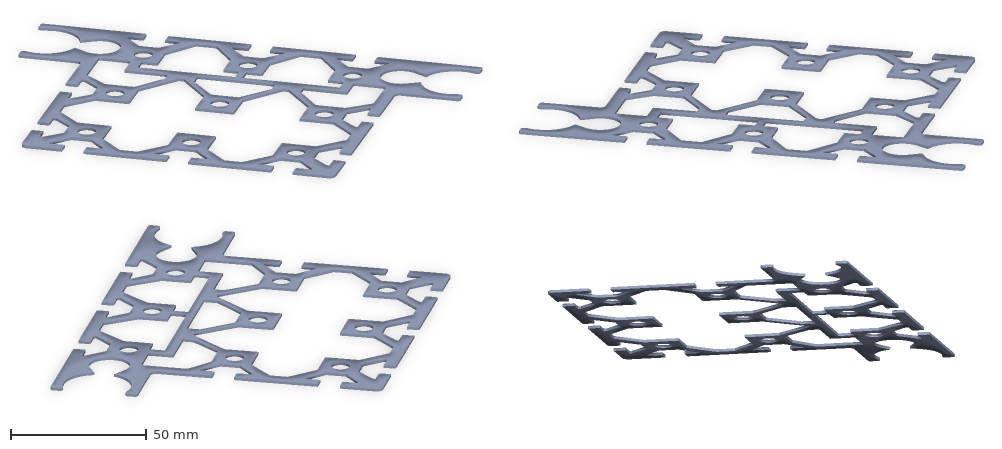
import cadquery as cq
import math

THICKNESS = 1.0
TOTAL_WIDTH = 169.0
BODY_SIZE = 120.0
CELLS = 3
PITCH = BODY_SIZE / CELLS
HALF_BODY = BODY_SIZE / 2
HALF_BAY = PITCH / 2
CORNER_RADIUS = 2.4
WALL = 5.0

BORE_DIAMETER = 7.0
BOSS_HALF = 7.5
BOSS_GAP_HALF = HALF_BAY - BOSS_HALF

LIP = 4.5
SLOT_DEPTH = 12.3
SLOT_OPENING = 8.3
SLOT_FLOOR = 7.6
HORIZONTAL_SLOT_WIDTH = 20.1
UNDERCUT_STEP = 1.0
SIDE_SLOT_WIDTH = 19.6

BAY_FLAT_HALF = 3.4
RIB_ROOT = 5.5
PEAK_HALF = 1.0
PEAK_Y = 19.8

T_POCKET_FLAT_HALF = 3.9
T_POCKET_SHOULDER_Y = 43.5
T_POCKET_FLOOR_Y = 26.7
CENTRE_WEB = 2.7
NECK_INNER_X = 14.9
NECK_OUTER_X = 25.9
NECK_FOOT_Y = 18.6
NECK_RIB_FOOT_HALF = 14.7
MIDDLE_POCKET_TOP_Y = 23.7
STEP_POCKET_TOP_Y = 32.1
STEP_POCKET_LEDGE_Y = 22.6
STEP_POCKET_LEDGE_X = 42.6
STEP_POCKET_FOOT_X = 46.0
STEP_POCKET_WALL_Y = 14.5

WING_HEIGHT = 33.0
WING_BOTTOM = HALF_BODY - WING_HEIGHT
WING_AXIS_Y = HALF_BODY - WING_HEIGHT / 2
WING_TIP_RADIUS = 1.0
WING_ROOT_RADIUS = 2.0
SOCKET_X = 57.5
SOCKET_RADIUS = 7.6
FLANK_ANGLE = math.radians(30)
MOUTH_X = 78.2
MOUTH_RADIUS = 12.7


def prism(points):
    return cq.Workplane("XY").polyline(points).close().extrude(THICKNESS)


def both_sides(shape):
    return shape.union(shape.mirror("YZ"))


def mirrored_path(points):
    """Complete a half outline on the +X side with its reflection in x = 0."""
    return points + [(-x, y) for x, y in reversed(points)]


def block(x_min, x_max, y_min, y_max):
    return prism([(x_min, y_min), (x_max, y_min), (x_max, y_max), (x_min, y_max)])


def blank():
    body = block(-HALF_BODY, HALF_BODY, -HALF_BODY, HALF_BODY)
    body = body.edges("|Z and <Y").fillet(CORNER_RADIUS)
    wings = block(-TOTAL_WIDTH / 2, TOTAL_WIDTH / 2, WING_BOTTOM, HALF_BODY)
    root = cq.selectors.BoxSelector(
        (-HALF_BODY - LIP, WING_BOTTOM - LIP, -LIP),
        (HALF_BODY + LIP, WING_BOTTOM + LIP, LIP),
    )
    return body.union(wings).edges("|Z").edges(root).fillet(WING_ROOT_RADIUS)


def wing_disc(x, radius):
    return cq.Workplane("XY").center(x, WING_AXIS_Y).circle(radius).extrude(THICKNESS)


def wing_mouth():
    """Opening in the right-hand wing: a round socket with tangent flanks and a wide round mouth."""
    tangent_x = SOCKET_X + SOCKET_RADIUS * math.sin(FLANK_ANGLE)
    tangent_half = SOCKET_RADIUS * math.cos(FLANK_ANGLE)
    apex_x = SOCKET_X + SOCKET_RADIUS / math.sin(FLANK_ANGLE)
    flanks = prism([
        (SOCKET_X, WING_AXIS_Y),
        (tangent_x, WING_AXIS_Y - tangent_half),
        (apex_x, WING_AXIS_Y),
        (tangent_x, WING_AXIS_Y + tangent_half),
    ])
    entry = block(MOUTH_X, TOTAL_WIDTH / 2, WING_BOTTOM + LIP, HALF_BODY - LIP)
    socket = wing_disc(SOCKET_X, SOCKET_RADIUS).union(flanks)
    return socket.union(wing_disc(MOUTH_X, MOUTH_RADIUS)).union(entry)


def t_slot(undercut):
    """T-slot opening upward through the top edge of the body, centred on x = 0."""
    lip_y = HALF_BODY - LIP
    return prism(mirrored_path([
        (SLOT_OPENING / 2, HALF_BODY),
        (SLOT_OPENING / 2, lip_y),
        (undercut / 2, lip_y),
        (undercut / 2, lip_y - UNDERCUT_STEP),
        (SLOT_FLOOR / 2, HALF_BODY - SLOT_DEPTH),
    ]))


def central_cavity():
    """Cavity around the lower bosses, as one outline mirrored about x = 0."""
    lower_row = -PITCH
    wall_x = HALF_BODY - WALL
    rib_x = PITCH + RIB_ROOT
    return prism(mirrored_path([
        (BOSS_HALF, -BOSS_HALF),
        (BOSS_HALF, RIB_ROOT),
        (HALF_BAY - PEAK_HALF, PEAK_Y),
        (HALF_BAY + PEAK_HALF, PEAK_Y),
        (PITCH - BOSS_HALF, RIB_ROOT),
        (PITCH - BOSS_HALF, -BOSS_HALF),
        (rib_x, -BOSS_HALF),
        (wall_x, -HALF_BAY + BAY_FLAT_HALF),
        (wall_x, -HALF_BAY - BAY_FLAT_HALF),
        (rib_x, lower_row + BOSS_HALF),
        (PITCH - BOSS_HALF, lower_row + BOSS_HALF),
        (PITCH - BOSS_HALF, lower_row - RIB_ROOT),
        (HALF_BAY + BAY_FLAT_HALF, WALL - HALF_BODY),
        (HALF_BAY - BAY_FLAT_HALF, WALL - HALF_BODY),
        (BOSS_HALF, lower_row - RIB_ROOT),
        (BOSS_HALF, lower_row + BOSS_HALF),
    ]))


def t_pocket():
    """Pocket between two upper bosses, widening below them."""
    foot_half = HALF_BAY - CENTRE_WEB / 2
    boss_bottom = PITCH - BOSS_HALF
    pocket = prism(mirrored_path([
        (T_POCKET_FLAT_HALF, HALF_BODY - WALL),
        (BOSS_GAP_HALF, T_POCKET_SHOULDER_Y),
        (BOSS_GAP_HALF, boss_bottom),
        (foot_half, boss_bottom),
        (foot_half, T_POCKET_FLOOR_Y),
    ]))
    return pocket.translate((HALF_BAY, 0, 0))


def middle_pocket():
    """Pocket between the two posts, above the middle boss."""
    return prism(mirrored_path([
        (NECK_INNER_X, MIDDLE_POCKET_TOP_Y),
        (NECK_INNER_X, NECK_FOOT_Y),
        (HALF_BAY - NECK_RIB_FOOT_HALF, BOSS_HALF),
    ]))


def step_pocket():
    """Stepped pocket between the right-hand post and the side wall."""
    wall_x = HALF_BODY - WALL
    return prism([
        (STEP_POCKET_LEDGE_X, STEP_POCKET_TOP_Y),
        (wall_x, STEP_POCKET_TOP_Y),
        (wall_x, STEP_POCKET_WALL_Y),
        (STEP_POCKET_FOOT_X, BOSS_HALF),
        (HALF_BAY + NECK_RIB_FOOT_HALF, BOSS_HALF),
        (NECK_OUTER_X, NECK_FOOT_Y),
        (NECK_OUTER_X, STEP_POCKET_LEDGE_Y),
        (STEP_POCKET_LEDGE_X, STEP_POCKET_LEDGE_Y),
    ])


result = blank().cut(both_sides(wing_mouth()))
for tip in ("<X", ">X"):
    result = result.faces(tip).edges("|Z").fillet(WING_TIP_RADIUS)

horizontal_slot = t_slot(HORIZONTAL_SLOT_WIDTH)
side_slot = t_slot(SIDE_SLOT_WIDTH).rotate((0, 0, 0), (0, 0, 1), -90)
for column in (-PITCH, 0, PITCH):
    top_slot = horizontal_slot.translate((column, 0, 0))
    result = result.cut(top_slot).cut(top_slot.mirror("XZ"))
for row in (0, -PITCH):
    result = result.cut(both_sides(side_slot.translate((0, row, 0))))

result = result.cut(central_cavity()).cut(middle_pocket())
for pocket in (t_pocket(), step_pocket()):
    result = result.cut(both_sides(pocket))

bores = (
    cq.Workplane("XY")
    .rarray(PITCH, PITCH, CELLS, CELLS)
    .circle(BORE_DIAMETER / 2)
    .extrude(THICKNESS)
)
result = result.cut(bores)